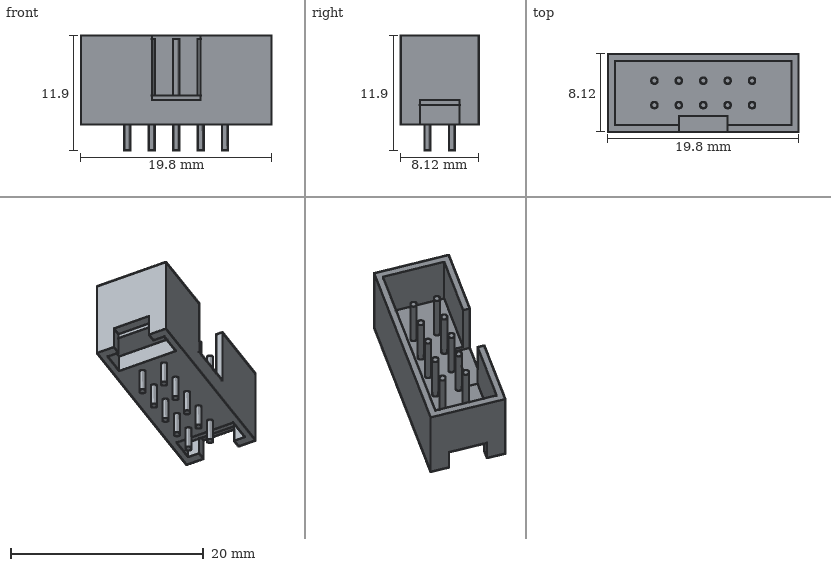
import cadquery as cq

body_length = 19.81
body_width = 8.12
total_height = 11.95
pin_tail = 2.67
body_height = total_height - pin_tail
wall = 0.73
floor_top = 3.05

pin_pitch = 2.54
key_width = 2 * pin_pitch
key_depth = 1.65
key_bottom = 2.58

notch_width = 4.12
notch_height = 2.58
end_wall = 1.01
recess_height = 2.02

pins_per_row = 5
pin_rows = 2
pin_diameter = 0.65
pin_setback = 0.38
pin_top = body_height - pin_setback
pin_block_length = pins_per_row * pin_pitch


def box_between(x_range, y_range, z_range):
    """Box spanning the given (low, high) limits along each axis."""
    sizes = [high - low for low, high in (x_range, y_range, z_range)]
    corner = (x_range[0], y_range[0], z_range[0])
    return cq.Workplane("XY").box(*sizes, centered=False).translate(corner)


def centred(size):
    """Limits of a span of the given size centred on zero."""
    return (-size / 2, size / 2)


def make_shroud():
    inner_width = body_width - 2 * wall
    body = box_between(centred(body_length), centred(body_width), (0, body_height))
    cavity = box_between(
        centred(body_length - 2 * wall), centred(inner_width), (floor_top, body_height)
    )
    front = -body_width / 2
    key_slot = box_between(
        centred(key_width), (front, front + key_depth), (key_bottom, body_height)
    )
    return body.cut(cavity).cut(key_slot)


def make_end_opening():
    """Notch and wider recess under the -X end, outside the block holding the pins."""
    outer_end = -body_length / 2
    inner_end = outer_end + end_wall
    notch = box_between((outer_end, inner_end), centred(notch_width), (0, notch_height))
    recess = box_between(
        (inner_end, -pin_block_length / 2),
        centred(body_width - 2 * wall),
        (0, recess_height),
    )
    return notch.union(recess)


def make_pins():
    return (
        cq.Workplane("XY", origin=(0, 0, -pin_tail))
        .rarray(pin_pitch, pin_pitch, pins_per_row, pin_rows)
        .circle(pin_diameter / 2)
        .extrude(pin_tail + pin_top)
    )


end_opening = make_end_opening()
shroud = make_shroud().cut(end_opening).cut(end_opening.mirror("YZ"))
result = shroud.union(make_pins())